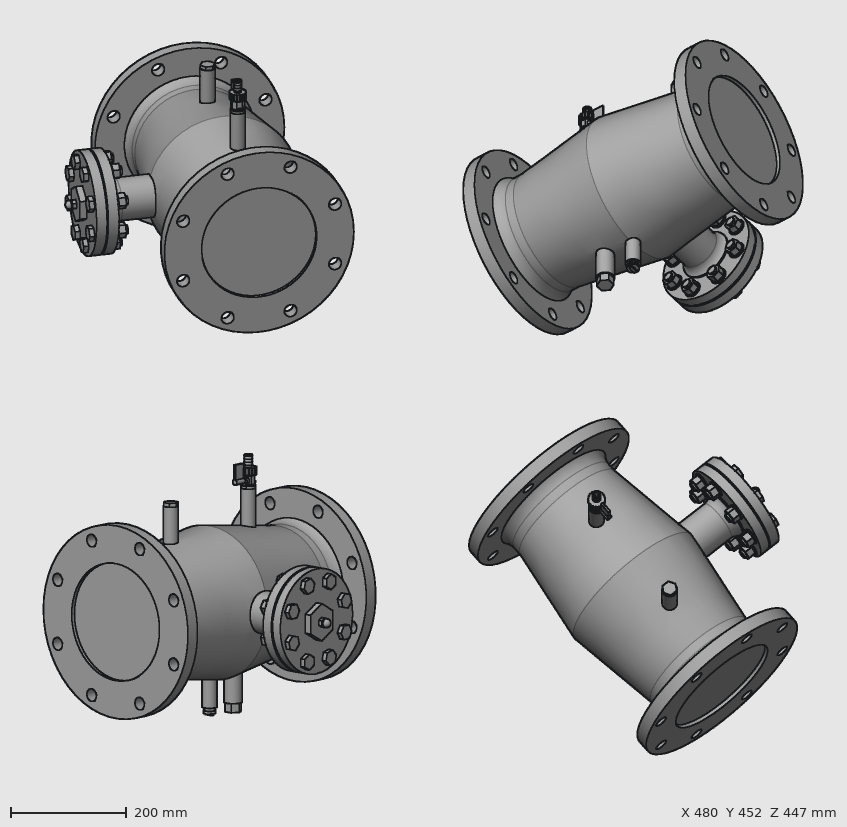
import cadquery as cq
import math

LENGTH = 480.0
HALF_LENGTH = LENGTH / 2
FLANGE_DIA = 340.0
FLANGE_THICK = 24.5
FLANGE_BOLT_CIRCLE = 294.5
FLANGE_HOLE_DIA = 22.0
BOLT_COUNT = 8
BOLT_STEP = 360 / BOLT_COUNT
NECK_BASE_DIA = 234.0
NECK_DIA = 219.0
NECK_FLARE_LENGTH = 21.0
NECK_STRAIGHT_LENGTH = 17.5
BELLY_DIA = 270.5
BORE_DIA = 206.5
BORE_DEPTH = 7.0

BRANCH_DIA = 75.5
BRANCH_FLANGE_DIA = 185.0
BRANCH_FLANGE_THICK = 19.0
BRANCH_FLARE_START = 190.0
BRANCH_FLARE_DIA = 94.0
BRANCH_SHOULDER = 3.0
BRANCH_FLANGE_START = 210.5
GASKET_DIA = 181.0
GASKET_THICK = 2.0
BRANCH_BOLT_CIRCLE = 145.0
BOLT_FLATS = 24.0
BOLT_HEAD_HEIGHT = 9.0
NUT_HEIGHT = 14.0
WASHER_DIA = 30.0
WASHER_THICK = 3.0
STUD_DIA = 16.0
STUD_END = 4.5
HUB_FLATS = 57.0
HUB_HEIGHT = 12.5
VENT_DIA = 16.0
VENT_HEX_FLATS = 15.0
VENT_HEX_HEIGHT = 7.0
VENT_NECK_DIA = 10.0
VENT_NECK_HEIGHT = 1.5
BRANCH_TIP = 282.0

SOCKET_DIA = 26.5
SOCKET_OFFSET = 99.0
SOCKET_END = 184.5
PLUG_TOP = 191.0
VALVE_BASE = 187.5
DRAIN_NECK_DIA = 18.0
DRAIN_CAP_DIA = 22.0
DRAIN_CAP_START = 190.0
DRAIN_CAP_END = 195.0
DRAIN_TAB_THICK = 6.0
DRAIN_TAB_WIDTH = 15.5
DRAIN_TAB_END = 198.0
OUTLET_OFFSET = 60.0
OUTLET_DIA = 32.0
OUTLET_HEX_CORNERS = 30.0
OUTLET_HEX_END = 200.5

VALVE_COLLAR_DIA = 25.5
VALVE_COLLAR_TOP = 192.5
VALVE_COLLAR_FLAT = 11.5
VALVE_WAIST_DIA = 23.5
VALVE_BODY_BASE = 195.5
VALVE_BODY_FLATS = 22.5
VALVE_BODY_SIDES = 8
VALVE_NUT_BASE = 210.5
VALVE_NUT_TOP = 224.5
VALVE_NUT_DIA = 30.0
VALVE_NUT_CHAMFER = 2.0
NUT_GROOVE_DIA = 2.0
NUT_GROOVE_COUNT = 16
BARB_DIA = 15.0
BARB_ROOT_DIA = 12.5
BARB_BAND = 1.0
BARB_FIRST_BASE = 228.5
BARB_PITCH = 5.5
BARB_COUNT = 4
VALVE_TOP = 246.5
VALVE_BORE_DIA = 9.0
STEM_HEIGHT = 202.0
STEM_DIA = 18.0
STEM_REACH = 13.0
GRIP_DIA = 10.0
HANDLE_REACH = 34.5
HANDLE_TOP = 233.0
HANDLE_WIDTH = 20.0
HANDLE_THICK = 4.5
LUG_REACH = 17.0
LUG_WIDTH = 5.0
LUG_HEIGHT = 2.5

CORNERS_PER_FLATS = 1 / math.cos(math.pi / 6)


def upright(x, dia, z0, z1):
    """Vertical cylinder on the XZ mid-plane between two heights."""
    return cq.Workplane("XY", origin=(x, 0, z0)).circle(dia / 2).extrude(z1 - z0)


def upright_hex(x, corners, z0, z1):
    """Vertical hexagon with two corners on the Y direction."""
    hexagon = cq.Workplane("XY").polygon(6, corners).extrude(z1 - z0)
    return hexagon.rotate((0, 0, 0), (0, 0, 1), 90).translate((x, 0, z0))


def outward(start):
    """Plane facing -Y at a distance from the body axis; its local Y is Z."""
    return cq.Workplane("XZ", origin=(0, -start, 0))


def along_branch(dia, start, height):
    """Cylinder on the branch axis, growing outward from a start distance."""
    return outward(start).circle(dia / 2).extrude(height)


def main_body():
    flare_end = HALF_LENGTH - FLANGE_THICK - NECK_FLARE_LENGTH
    cone_start = flare_end - NECK_STRAIGHT_LENGTH
    flange_back = HALF_LENGTH - FLANGE_THICK
    half_profile = (
        cq.Workplane("XY")
        .moveTo(0, 0)
        .lineTo(0, BELLY_DIA / 2)
        .lineTo(cone_start, NECK_DIA / 2)
        .lineTo(flare_end, NECK_DIA / 2)
        .tangentArcPoint((flange_back, NECK_BASE_DIA / 2), relative=False)
        .lineTo(flange_back, FLANGE_DIA / 2)
        .lineTo(HALF_LENGTH, FLANGE_DIA / 2)
        .lineTo(HALF_LENGTH, BORE_DIA / 2)
        .lineTo(HALF_LENGTH - BORE_DEPTH, BORE_DIA / 2)
        .lineTo(HALF_LENGTH - BORE_DEPTH, 0)
        .close()
    )
    half = half_profile.revolve(360, (0, 0, 0), (1, 0, 0))
    holes = (
        cq.Workplane("YZ", origin=(flange_back, 0, 0))
        .polarArray(FLANGE_BOLT_CIRCLE / 2, BOLT_STEP / 2, 360, BOLT_COUNT)
        .circle(FLANGE_HOLE_DIA / 2)
        .extrude(FLANGE_THICK)
    )
    half = half.cut(holes)
    return half.union(half.mirror("YZ"))


def bolt_set(gasket_start, cover_face):
    """One bolt through both branch flanges, at the first bolt position."""
    corners = BOLT_FLATS * CORNERS_PER_FLATS
    washer_face = BRANCH_FLANGE_START - WASHER_THICK
    nut_face = washer_face - NUT_HEIGHT
    stud = along_branch(STUD_DIA, nut_face - STUD_END, gasket_start - nut_face)
    nut = outward(nut_face).polygon(6, corners).extrude(NUT_HEIGHT)
    washer = along_branch(WASHER_DIA, washer_face, WASHER_THICK)
    head = outward(cover_face).polygon(6, corners).extrude(BOLT_HEAD_HEIGHT)
    bolt = stud.union(nut).union(washer).union(head)
    radius = BRANCH_BOLT_CIRCLE / 2
    angle = math.radians(-BOLT_STEP / 2)
    return bolt.translate((radius * math.cos(angle), 0, radius * math.sin(angle)))


def vent(start):
    """Small hexagon, narrow neck and rounded tip at the end of the branch."""
    neck_start = start + VENT_HEX_HEIGHT
    dome_start = neck_start + VENT_NECK_HEIGHT
    hexagon = outward(start).polygon(6, VENT_HEX_FLATS * CORNERS_PER_FLATS).extrude(VENT_HEX_HEIGHT)
    hexagon = hexagon.rotate((0, 0, 0), (0, 1, 0), 90)
    neck = along_branch(VENT_NECK_DIA, neck_start, VENT_NECK_HEIGHT)
    radius = VENT_DIA / 2
    dome_profile = (
        cq.Workplane("XY")
        .moveTo(0, -dome_start)
        .lineTo(radius, -dome_start)
        .lineTo(radius, radius - BRANCH_TIP)
        .tangentArcPoint((0, -BRANCH_TIP), relative=False)
        .close()
    )
    dome = dome_profile.revolve(360, (0, 0, 0), (0, 1, 0))
    return hexagon.union(neck).union(dome)


def branch():
    gasket_start = BRANCH_FLANGE_START + BRANCH_FLANGE_THICK
    cover_start = gasket_start + GASKET_THICK
    cover_face = cover_start + BRANCH_FLANGE_THICK
    radius = BRANCH_DIA / 2
    pipe_profile = (
        cq.Workplane("XY")
        .moveTo(0, 0)
        .lineTo(radius, 0)
        .lineTo(radius, -BRANCH_FLARE_START)
        .tangentArcPoint((BRANCH_FLARE_DIA / 2, BRANCH_SHOULDER - BRANCH_FLANGE_START), relative=False)
        .lineTo(BRANCH_FLARE_DIA / 2, -BRANCH_FLANGE_START)
        .lineTo(0, -BRANCH_FLANGE_START)
        .close()
    )
    solid = pipe_profile.revolve(360, (0, 0, 0), (0, 1, 0))
    solid = solid.union(along_branch(BRANCH_FLANGE_DIA, BRANCH_FLANGE_START, BRANCH_FLANGE_THICK))
    solid = solid.union(along_branch(GASKET_DIA, gasket_start, GASKET_THICK))
    solid = solid.union(along_branch(BRANCH_FLANGE_DIA, cover_start, BRANCH_FLANGE_THICK))

    bolt = bolt_set(gasket_start, cover_face)
    for i in range(BOLT_COUNT):
        solid = solid.union(bolt.rotate((0, 0, 0), (0, 1, 0), i * BOLT_STEP))

    hub = outward(cover_face).polygon(6, HUB_FLATS * CORNERS_PER_FLATS).extrude(HUB_HEIGHT)
    solid = solid.union(hub.rotate((0, 0, 0), (0, 1, 0), 90))
    return solid.union(vent(cover_face + HUB_HEIGHT))


def plugged_socket():
    socket = upright(-SOCKET_OFFSET, SOCKET_DIA, 0, SOCKET_END)
    return socket.union(upright_hex(-SOCKET_OFFSET, SOCKET_DIA, SOCKET_END, PLUG_TOP))


def drain():
    socket = upright(0, SOCKET_DIA, -SOCKET_END, 0)
    neck = upright(0, DRAIN_NECK_DIA, -DRAIN_CAP_START, -SOCKET_END)
    cap = upright(0, DRAIN_CAP_DIA, -DRAIN_CAP_END, -DRAIN_CAP_START)
    tab = cq.Workplane("XY", origin=(0, 0, -DRAIN_TAB_END)).box(
        DRAIN_TAB_THICK, DRAIN_TAB_WIDTH, DRAIN_TAB_END - DRAIN_CAP_END, centered=(True, True, False)
    )
    return socket.union(neck).union(cap).union(tab)


def outlet():
    socket = upright(OUTLET_OFFSET, OUTLET_DIA, -SOCKET_END, 0)
    return socket.union(upright_hex(OUTLET_OFFSET, OUTLET_HEX_CORNERS, -OUTLET_HEX_END, -SOCKET_END))


def valve_nut():
    """Round nut with upright grooves around its rim."""
    nut = upright(0, VALVE_NUT_DIA, VALVE_NUT_BASE, VALVE_NUT_TOP)
    nut = nut.faces("<Z").chamfer(VALVE_NUT_CHAMFER)
    grooves = (
        cq.Workplane("XY", origin=(0, 0, VALVE_NUT_BASE))
        .polarArray(VALVE_NUT_DIA / 2, 0, 360, NUT_GROOVE_COUNT)
        .circle(NUT_GROOVE_DIA / 2)
        .extrude(VALVE_NUT_TOP - VALVE_NUT_BASE)
    )
    return nut.cut(grooves)


def hose_tail():
    """Tube with barbs, each a short band that tapers upwards to the tube."""
    band_radius = BARB_DIA / 2
    root_radius = BARB_ROOT_DIA / 2
    profile = cq.Workplane("XZ").moveTo(0, VALVE_NUT_TOP).lineTo(root_radius, VALVE_NUT_TOP)
    for i in range(BARB_COUNT):
        base = BARB_FIRST_BASE + i * BARB_PITCH
        profile = profile.lineTo(root_radius, base).lineTo(band_radius, base)
        profile = profile.lineTo(band_radius, base + BARB_BAND)
    profile = profile.lineTo(root_radius, VALVE_TOP).lineTo(0, VALVE_TOP).close()
    return profile.revolve(360, (0, 0, 0), (0, 1, 0))


def valve_collar():
    """Round collar with one flat on the handle side, and the waist above it."""
    collar = upright(0, VALVE_COLLAR_DIA, VALVE_BASE, VALVE_COLLAR_TOP)
    flat_cut = cq.Workplane("XY", origin=(-VALVE_COLLAR_FLAT - VALVE_COLLAR_DIA, 0, VALVE_BASE)).box(
        VALVE_COLLAR_DIA, VALVE_COLLAR_DIA, VALVE_COLLAR_TOP - VALVE_BASE, centered=(False, True, False)
    )
    waist = upright(0, VALVE_WAIST_DIA, VALVE_COLLAR_TOP, VALVE_BODY_BASE)
    return collar.cut(flat_cut).union(waist)


def handle():
    """Side stem, round grip rod and the flat lever standing on it."""
    stem_plane = cq.Workplane("YZ", origin=(-STEM_REACH, 0, STEM_HEIGHT))
    stem = stem_plane.circle(STEM_DIA / 2).extrude(STEM_REACH)
    grip_plane = cq.Workplane("YZ", origin=(-HANDLE_REACH, 0, STEM_HEIGHT))
    grip = grip_plane.circle(GRIP_DIA / 2).extrude(HANDLE_REACH)
    lever_plane = cq.Workplane("XY", origin=(-HANDLE_REACH, 0, STEM_HEIGHT))
    lever = lever_plane.box(
        HANDLE_WIDTH, HANDLE_THICK, HANDLE_TOP - STEM_HEIGHT, centered=(False, True, False)
    )
    return stem.union(grip).union(lever)


def valve():
    solid = valve_collar()
    octagon_corners = VALVE_BODY_FLATS / math.cos(math.pi / VALVE_BODY_SIDES)
    octagon = (
        cq.Workplane("XY")
        .polygon(VALVE_BODY_SIDES, octagon_corners)
        .extrude(VALVE_NUT_BASE - VALVE_BODY_BASE)
        .rotate((0, 0, 0), (0, 0, 1), 180 / VALVE_BODY_SIDES)
        .translate((0, 0, VALVE_BODY_BASE))
    )
    lug = cq.Workplane("XY", origin=(0, 0, VALVE_BODY_BASE)).box(
        LUG_REACH, LUG_WIDTH, LUG_HEIGHT, centered=(False, True, False)
    )
    for piece in (octagon, lug, handle(), valve_nut(), hose_tail()):
        solid = solid.union(piece)
    solid = solid.cut(upright(0, VALVE_BORE_DIA, VALVE_NUT_TOP, VALVE_TOP))
    socket = upright(0, SOCKET_DIA, 0, VALVE_BASE)
    return solid.union(socket).translate((SOCKET_OFFSET, 0, 0))


result = main_body()
for fitting in (branch(), plugged_socket(), drain(), outlet(), valve()):
    result = result.union(fitting)